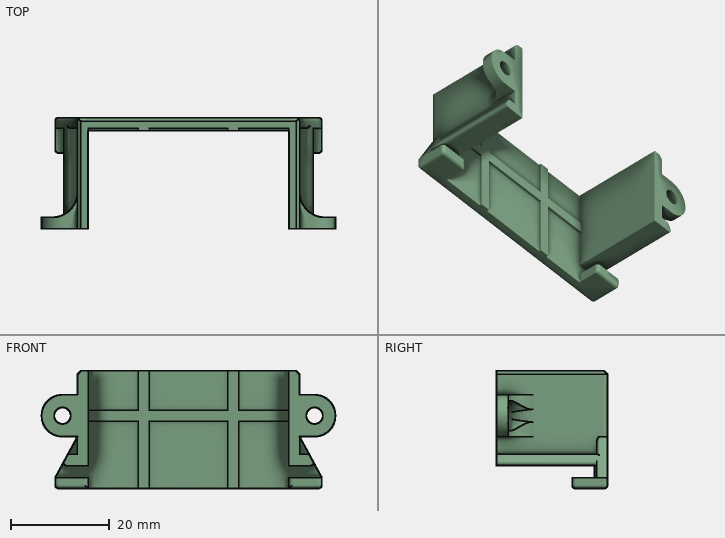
import cadquery as cq
import math

body_depth = 22.5
body_height = 23.85
half_width = 22.5
wall = 2.2
half_inner = half_width - wall
edge_round = 0.75
top_chamfer = 0.75

wall_bottom = 4.65
ledge_top = 7.0
ledge_round = 0.6
half_foot = 27.0
foot_length = 7.2
foot_height = 2.2

lug_x = 25.5
lug_z = 14.75
lug_radius = 4.25
lug_thickness = 2.35
lug_hole_diameter = 3.3
lug_fillet = 5.0
gusset_top = lug_z - lug_radius

clearance_radius = 3.05
clearance_back_radius = 3.27

rib_height = 0.5
rib_width = 2.15
rib_x = 9.05
cross_rib_width = 2.3


def box(x_min, x_max, y_min, y_max, z_min, z_max):
    size = (x_max - x_min, y_max - y_min, z_max - z_min)
    return cq.Workplane("XY").box(*size, centered=False).translate((x_min, y_min, z_min))


def slope_x(z):
    """X of the sloping gusset side at height z."""
    return half_width + (half_foot - half_width) * (gusset_top - z) / (gusset_top - foot_height)


def extrude_profile(points, y_front, y_back):
    """Extrude an XZ outline from y_back forward to y_front."""
    return cq.Workplane("XZ", origin=(0, y_back, 0)).polyline(points).close().extrude(y_back - y_front)


def back_plate():
    """Right half of the back plate, flaring out to the foot; rounded back edges."""
    outline = [
        (0, 0),
        (half_foot, 0),
        (half_foot, foot_height),
        (half_width, gusset_top),
        (half_width, body_height),
        (0, body_height),
    ]
    plate = extrude_profile(outline, -wall, 0)
    plate = plate.faces(">Z").edges(">X or >Y").chamfer(top_chamfer)
    foot_corner = plate.edges(cq.selectors.NearestToPointSelector((half_foot, -wall / 2, 0)))
    plate = foot_corner.fillet(edge_round)
    sharp_edges = plate.faces(">Y").edges("not(<X or >Z)")
    return sharp_edges.fillet(edge_round)


def side_wall():
    blank = box(half_inner, half_width, -body_depth, -wall, wall_bottom, body_height)
    return blank.edges("|Y and >X and >Z").chamfer(top_chamfer)


def ledge():
    """Ledge along the wall foot, its sloping side flush with the gusset."""
    outline = [
        (half_inner, wall_bottom),
        (slope_x(wall_bottom), wall_bottom),
        (slope_x(ledge_top), ledge_top),
        (half_inner, ledge_top),
    ]
    blank = extrude_profile(outline, -body_depth, -wall)
    return blank.edges("|Y and >X").fillet(ledge_round)


def round_gusset_and_ledge(body):
    """Round the gusset's front edge above the ledge and the ledge's top edge."""
    gusset_z = (ledge_top + gusset_top) / 2
    gusset_edge = cq.selectors.NearestToPointSelector((slope_x(gusset_z), -wall, gusset_z))
    ledge_edge = cq.selectors.NearestToPointSelector((slope_x(ledge_top), -body_depth / 2, ledge_top))
    return body.edges(gusset_edge).add(body.edges(ledge_edge)).fillet(ledge_round)


def foot():
    """Foot tab, rounded below its front and outer sides and at its upright front edges."""
    blank = box(half_inner, half_foot, -foot_length, -edge_round, 0, foot_height)
    trimmed = blank.edges("|Z and <X and <Y").fillet(edge_round)
    rounded = blank.edges("|Z and >X and <Y").fillet(edge_round)
    rounded = rounded.edges("|Y and >X and <Z").fillet(edge_round)
    return rounded.intersect(trimmed)


def lug():
    """Rounded ear at the wall front, blended into the wall and drilled along Y."""
    front = -body_depth
    back = front + lug_thickness
    outline_back = back + lug_fillet
    outline_length = lug_thickness + lug_fillet
    ear = (
        cq.Workplane("XZ", origin=(lug_x, outline_back, lug_z))
        .circle(lug_radius)
        .extrude(outline_length)
    )
    root = box(half_width, lug_x, front, outline_back, lug_z - lug_radius, lug_z + lug_radius)
    outline = ear.union(root)
    flange = outline.intersect(box(half_width, lug_x + lug_radius, front, back, 0, body_height))
    half_turn = math.sqrt(0.5) * lug_fillet
    arc_centre = (half_width + lug_fillet, back + lug_fillet)
    blend = (
        cq.Workplane("XY", origin=(0, 0, lug_z - lug_radius))
        .moveTo(half_width, back)
        .lineTo(half_width + lug_fillet, back)
        .threePointArc(
            (arc_centre[0] - half_turn, arc_centre[1] - half_turn),
            (half_width, back + lug_fillet),
        )
        .close()
        .extrude(2 * lug_radius)
    )
    clearance = (
        cq.Workplane("XZ", origin=(lug_x, back, lug_z))
        .circle(clearance_radius)
        .workplane(offset=-lug_fillet)
        .circle(clearance_back_radius)
        .loft()
    )
    hole = (
        cq.Workplane("XZ", origin=(lug_x, back, lug_z))
        .circle(lug_hole_diameter / 2)
        .extrude(lug_thickness)
    )
    return flange.union(blend.intersect(outline).cut(clearance)).cut(hole)


def ribs():
    """Right half of the rib grid: one upright and the cross rib."""
    front = -wall - rib_height
    upright = box(rib_x - rib_width / 2, rib_x + rib_width / 2, front, -wall, 0, body_height)
    half_cross = cross_rib_width / 2
    cross = box(0, half_inner, front, -wall, lug_z - half_cross, lug_z + half_cross)
    return upright.union(cross)


right_half = back_plate().union(side_wall())
right_half = round_gusset_and_ledge(right_half.union(ledge()))
right_half = right_half.union(foot()).union(ribs()).union(lug())
result = right_half.union(right_half.mirror("YZ")).clean()